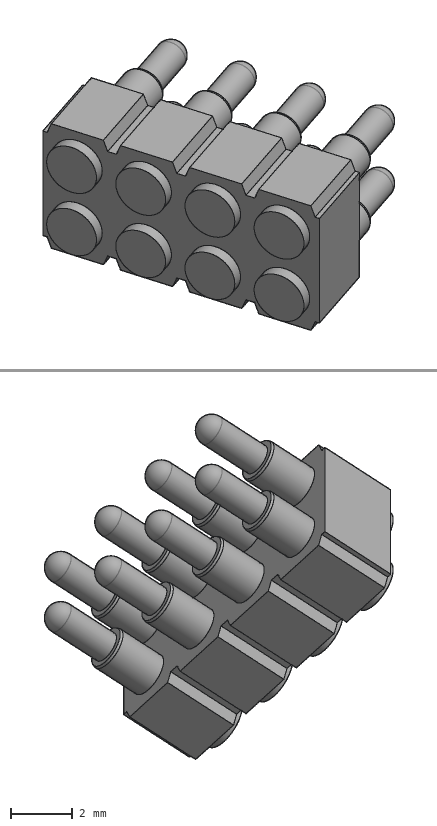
import cadquery as cq
import math

columns = 4
rows = 2
pitch = 2.54
housing_length = columns * pitch
housing_height = rows * pitch
housing_depth = 2.8

tooth_tip_width = 1.91
tooth_base_width = 2.23
groove_depth = 0.41

flange_diameter = 1.83
flange_thickness = 0.41
barrel_diameter = 1.5
barrel_length = 1.82
barrel_chamfer_length = 0.09
barrel_chamfer_width = 0.03
plunger_diameter = 1.07
overall_length = 7.49

housing_front_y = 0.0
housing_back_y = housing_front_y + housing_depth
flange_face_y = housing_front_y - flange_thickness
barrel_end_y = housing_back_y + barrel_length
tip_y = flange_face_y + overall_length


def centred_positions(count):
    """Evenly pitched positions, symmetric about zero."""
    return [(index - (count - 1) / 2) * pitch for index in range(count)]


column_positions = centred_positions(columns)
row_positions = centred_positions(rows)
pin_centres = [(x, z) for x in column_positions for z in row_positions]


def make_tooth(x, side):
    """Tapered tooth standing on the core; side is +1 for the top and -1 for the bottom."""
    base_z = side * (housing_height / 2 - groove_depth)
    tip_z = side * housing_height / 2
    outline = [
        (x - tooth_base_width / 2, base_z),
        (x - tooth_tip_width / 2, tip_z),
        (x + tooth_tip_width / 2, tip_z),
        (x + tooth_base_width / 2, base_z),
    ]
    return (
        cq.Workplane("XZ", origin=(0, housing_front_y, 0))
        .polyline(outline)
        .close()
        .extrude(-housing_depth)
    )


def make_housing():
    """Toothed block with one plain through hole for each pin."""
    core_height = housing_height - 2 * groove_depth
    housing = cq.Workplane("XZ", origin=(0, housing_front_y, 0)).rect(housing_length, core_height)
    housing = housing.extrude(-housing_depth)
    for x in column_positions:
        for side in (1, -1):
            housing = housing.union(make_tooth(x, side))
    holes = (
        cq.Workplane("XZ", origin=(0, housing_front_y, 0))
        .pushPoints(pin_centres)
        .circle(barrel_diameter / 2)
        .extrude(-housing_depth)
    )
    return housing.cut(holes)


def make_pin(x, z):
    """Flanged barrel and domed plunger, turned as one piece about an axis along Y."""
    flange_radius = flange_diameter / 2
    barrel_radius = barrel_diameter / 2
    plunger_radius = plunger_diameter / 2
    dome_start_y = tip_y - plunger_radius
    dome_middle = (
        plunger_radius * math.cos(math.pi / 4),
        dome_start_y + plunger_radius * math.sin(math.pi / 4),
    )
    profile = (
        cq.Workplane("XY")
        .moveTo(0, flange_face_y)
        .lineTo(flange_radius, flange_face_y)
        .lineTo(flange_radius, housing_front_y)
        .lineTo(barrel_radius, housing_front_y)
        .lineTo(barrel_radius, barrel_end_y - barrel_chamfer_length)
        .lineTo(barrel_radius - barrel_chamfer_width, barrel_end_y)
        .lineTo(plunger_radius, barrel_end_y)
        .lineTo(plunger_radius, dome_start_y)
        .threePointArc(dome_middle, (0, tip_y))
        .close()
    )
    return profile.revolve(360, (0, 0, 0), (0, 1, 0)).translate((x, 0, z))


housing = make_housing()
pins = [make_pin(x, z) for x, z in pin_centres]

result = cq.Compound.makeCompound([housing.val(), *[pin.val() for pin in pins]])